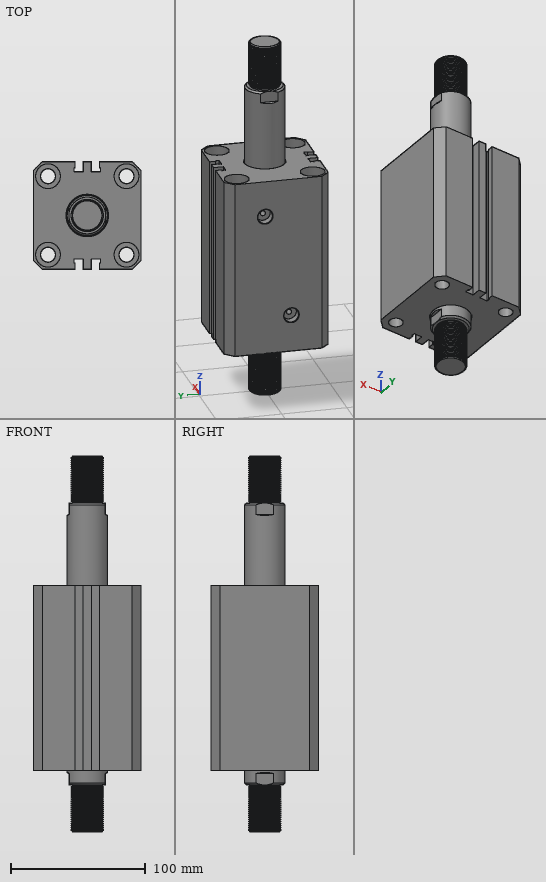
import cadquery as cq

TOTAL_LENGTH = 279.0
HOUSING_WIDTH = 80.0
HOUSING_HEIGHT = 137.5
ROD_BELOW = 45.5
ROD_ABOVE = TOTAL_LENGTH - HOUSING_HEIGHT - ROD_BELOW

CORNER_CHAMFER = 6.7
BOLT_SPACING = 58.3
BOLT_HOLE_DIAMETER = 11.0
COUNTERBORE_DIAMETER = 18.5
COUNTERBORE_DEPTH = 11.0
SLOT_OUTER = 9.0
SLOT_UNDERCUT = 9.8
SLOT_RIB = 3.0
SLOT_DEPTH = 7.5
SLOT_LIP = 4.7
ROD_CLEARANCE_DIAMETER = 31.2
PORT_DIAMETER = 11.2
PORT_CHAMFER = 0.42
PORT_DEPTH = 7.0
PORT_PASSAGE_DIAMETER = 4.0
PORT_OFFSET = 10.0
UPPER_PORT_FROM_TOP = 28.0
LOWER_PORT_FROM_BOTTOM = 28.7

ROD_DIAMETER = 30.0
SHOULDER_CHAMFER = 1.5
FLAT_WIDTH = 27.0
FLAT_HEIGHT = 8.5
LEDGE_RISE = 0.8
STUD_LENGTH = 35.0
THREAD_DIAMETER = 24.0
THREAD_PITCH = 1.5
THREAD_DEPTH = 0.8
THREAD_TURNS = 22
TIP_CHAMFER = 1.0


def slot_pair():
    """The two undercut slots, either side of a thin rib, in the -Y face."""
    face = -HOUSING_WIDTH / 2
    lip = face + SLOT_LIP
    floor = face + SLOT_DEPTH
    slot = (
        cq.Workplane("XY")
        .polyline([
            (SLOT_RIB, face),
            (SLOT_OUTER, face),
            (SLOT_OUTER, lip),
            (SLOT_UNDERCUT, lip),
            (SLOT_UNDERCUT, floor),
            (SLOT_RIB, floor),
        ])
        .close()
        .extrude(HOUSING_HEIGHT)
    )
    return slot.union(slot.mirror("YZ"))


def port(y, z):
    """A stepped, countersunk air port from the -X face to the rod hole."""
    mouth = cq.Workplane("YZ", origin=(-HOUSING_WIDTH / 2, y, z))
    entry = mouth.circle(PORT_DIAMETER / 2).extrude(PORT_DEPTH)
    passage = mouth.circle(PORT_PASSAGE_DIAMETER / 2).extrude(HOUSING_WIDTH / 2)
    countersink = (
        mouth.circle(PORT_DIAMETER / 2 + PORT_CHAMFER)
        .workplane(offset=PORT_CHAMFER)
        .circle(PORT_DIAMETER / 2)
        .loft()
    )
    return entry.union(countersink).union(passage)


def make_housing():
    """Chamfered block with bolt holes, rod hole, sensor slots on both Y sides and two ports."""
    housing = (
        cq.Workplane("XY")
        .rect(HOUSING_WIDTH, HOUSING_WIDTH)
        .extrude(HOUSING_HEIGHT)
        .edges("|Z")
        .chamfer(CORNER_CHAMFER)
        .faces(">Z")
        .workplane()
        .rect(BOLT_SPACING, BOLT_SPACING, forConstruction=True)
        .vertices()
        .cboreHole(BOLT_HOLE_DIAMETER, COUNTERBORE_DIAMETER, COUNTERBORE_DEPTH)
        .faces(">Z")
        .workplane()
        .hole(ROD_CLEARANCE_DIAMETER)
    )
    slots = slot_pair()
    housing = housing.cut(slots).cut(slots.mirror("XZ"))
    housing = housing.cut(port(PORT_OFFSET, HOUSING_HEIGHT - UPPER_PORT_FROM_TOP))
    return housing.cut(port(-PORT_OFFSET, LOWER_PORT_FROM_BOTTOM))


def end_profile(shoulder, outward):
    """Half-outline (r, z) of a rod end from its shoulder to its tip; outward is +1 up or -1 down.

    The thread is a row of ring grooves running from near the shoulder to the tip chamfer.
    """
    crest = THREAD_DIAMETER / 2
    core = crest - THREAD_DEPTH
    root_width = THREAD_PITCH / 4
    crest_width = THREAD_PITCH / 8
    flank = (THREAD_PITCH - root_width - crest_width) / 2
    thread_end = STUD_LENGTH - TIP_CHAMFER
    points = [
        (ROD_DIAMETER / 2, -SHOULDER_CHAMFER),
        (ROD_DIAMETER / 2 - SHOULDER_CHAMFER, 0),
        (core, 0),
    ]
    for turn in range(THREAD_TURNS):
        root = thread_end - (THREAD_TURNS - turn) * THREAD_PITCH
        points += [
            (core, root),
            (core, root + root_width),
            (crest, root + root_width + flank),
            (crest, root + root_width + flank + crest_width),
        ]
    points += [
        (core, thread_end),
        (crest, thread_end),
        (crest - TIP_CHAMFER, STUD_LENGTH),
        (0, STUD_LENGTH),
    ]
    return [(r, shoulder + outward * z) for r, z in points]


def wrench_flats(shoulder, outward):
    """Material removed on the -X and +X sides of the rod, with a sloped ledge behind each flat."""
    flat = FLAT_WIDTH / 2
    surface = ROD_DIAMETER / 2
    ledge = shoulder - outward * FLAT_HEIGHT
    cutter = (
        cq.Workplane("XZ")
        .polyline([
            (flat, shoulder),
            (surface, shoulder),
            (surface, ledge - outward * LEDGE_RISE),
            (flat, ledge),
        ])
        .close()
        .extrude(surface, both=True)
    )
    return cutter.union(cutter.mirror("YZ"))


def make_rod():
    """One rod passing right through the housing, with a threaded stud at each end."""
    upper_shoulder = HOUSING_HEIGHT + ROD_ABOVE - STUD_LENGTH
    lower_shoulder = STUD_LENGTH - ROD_BELOW
    upper = end_profile(upper_shoulder, 1)
    lower = end_profile(lower_shoulder, -1)
    rod = cq.Workplane("XZ").polyline(lower[::-1] + upper).close().revolve(360, (0, 0), (0, 1))
    rod = rod.cut(wrench_flats(upper_shoulder, 1))
    return rod.cut(wrench_flats(lower_shoulder, -1))


housing = make_housing()
rod = make_rod()

result = cq.Compound.makeCompound([housing.val(), rod.val()])